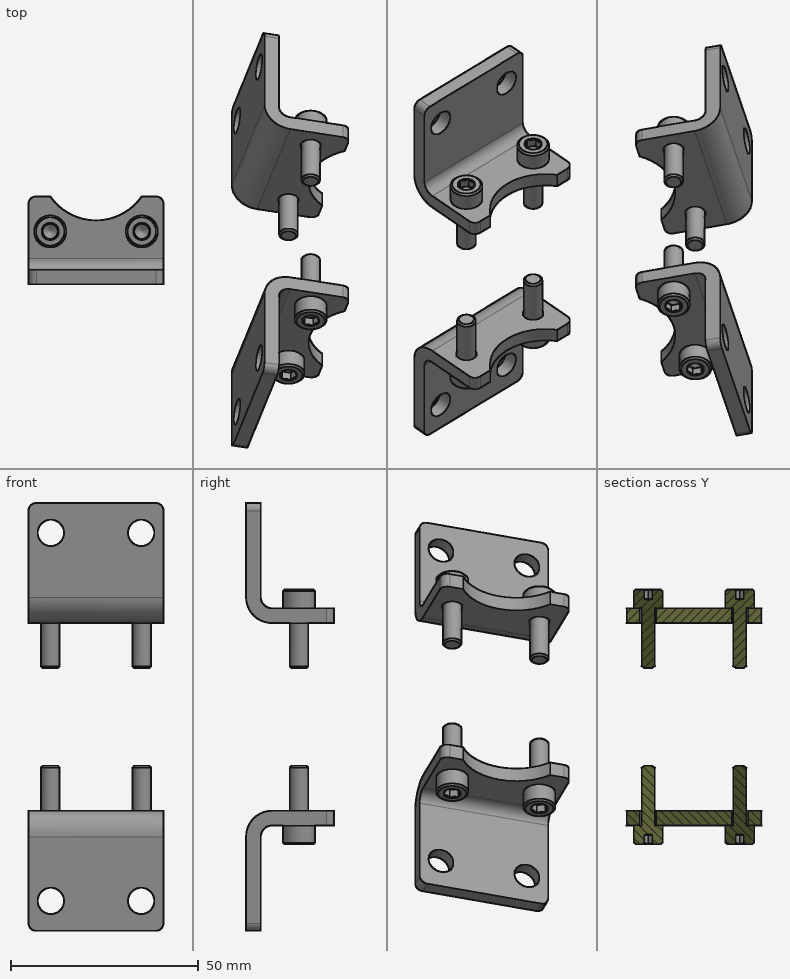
import cadquery as cq
import math

TOTAL_HEIGHT = 114.0
WIDTH = 36.0
FLANGE_DEPTH = 23.5

THICKNESS = 4.0
WALL_HEIGHT = 32.0
INNER_BEND_RADIUS = 3.0
OUTER_BEND_RADIUS = INNER_BEND_RADIUS + THICKNESS
CORNER_RADIUS = 2.0
FLANGE_Z = TOTAL_HEIGHT / 2 - WALL_HEIGHT

WALL_HOLE_DIAMETER = 7.0
WALL_HOLE_SPACING = 24.0
WALL_HOLE_EDGE_DISTANCE = 8.0

NOTCH_RADIUS = 14.8
NOTCH_FLOOR_Y = 17.1

SCREW_SPACING = 24.4
SCREW_Y = 14.1
SCREW_DIAMETER = 5.0
SCREW_HOLE_DIAMETER = 5.5
SCREW_PROTRUSION = 12.0
TIP_CHAMFER = 0.5
HEAD_DIAMETER = 8.5
HEAD_HEIGHT = 5.0
HEAD_CHAMFER = 0.5

SOCKET_FLATS = 4.0
SOCKET_CORNERS = SOCKET_FLATS / math.cos(math.pi / 6)
SOCKET_DEPTH = 2.5
SOCKET_CONE_DEPTH = 1.1
SOCKET_MOUTH_DEPTH = (SOCKET_CORNERS - SOCKET_FLATS) / 2


def make_bent_plate():
    """L-shaped plate with a concentric bend, flange along +Y and wall along +Z."""
    top = FLANGE_Z + WALL_HEIGHT
    flange_inner_z = FLANGE_Z + THICKNESS
    bend_y = OUTER_BEND_RADIUS
    bend_z = FLANGE_Z + OUTER_BEND_RADIUS
    outer_mid = OUTER_BEND_RADIUS * math.sqrt(0.5)
    inner_mid = INNER_BEND_RADIUS * math.sqrt(0.5)
    profile = (
        cq.Workplane("YZ", origin=(-WIDTH / 2, 0, 0))
        .moveTo(0, top)
        .lineTo(0, bend_z)
        .threePointArc((bend_y - outer_mid, bend_z - outer_mid), (bend_y, FLANGE_Z))
        .lineTo(FLANGE_DEPTH, FLANGE_Z)
        .lineTo(FLANGE_DEPTH, flange_inner_z)
        .lineTo(bend_y, flange_inner_z)
        .threePointArc((bend_y - inner_mid, bend_z - inner_mid), (THICKNESS, bend_z))
        .lineTo(THICKNESS, top)
        .close()
    )
    plate = profile.extrude(WIDTH)
    plate = plate.faces(">Z").edges("|Y").fillet(CORNER_RADIUS)
    return plate.faces(">Y").edges("|Z").fillet(CORNER_RADIUS)


def make_bracket():
    """Upper bracket with its wall holes, screw holes and flange notch."""
    wall_hole_z = FLANGE_Z + WALL_HEIGHT - WALL_HOLE_EDGE_DISTANCE
    wall_holes = (
        cq.Workplane("XZ", origin=(0, 0, wall_hole_z))
        .rarray(WALL_HOLE_SPACING, 1.1, 2, 1)
        .circle(WALL_HOLE_DIAMETER / 2)
        .extrude(-THICKNESS)
    )
    screw_holes = (
        cq.Workplane("XY", origin=(0, SCREW_Y, FLANGE_Z))
        .rarray(SCREW_SPACING, 1.1, 2, 1)
        .circle(SCREW_HOLE_DIAMETER / 2)
        .extrude(THICKNESS)
    )
    notch = (
        cq.Workplane("XY", origin=(0, NOTCH_FLOOR_Y + NOTCH_RADIUS, FLANGE_Z))
        .circle(NOTCH_RADIUS)
        .extrude(THICKNESS)
    )
    return make_bent_plate().cut(wall_holes).cut(screw_holes).cut(notch)


def make_socket(head_top_z):
    """Cutter for the drive recess: hexagon, conical floor and conical mouth."""
    hexagon = (
        cq.Workplane("XY", origin=(0, 0, head_top_z))
        .transformed(rotate=(0, 0, 90))
        .polygon(6, SOCKET_CORNERS)
        .extrude(-SOCKET_DEPTH)
    )
    floor_z = head_top_z - SOCKET_DEPTH
    floor_cone = cq.Workplane(
        cq.Solid.makeCone(
            0, SOCKET_FLATS / 2, SOCKET_CONE_DEPTH, pnt=cq.Vector(0, 0, floor_z - SOCKET_CONE_DEPTH)
        )
    )
    mouth_cone = cq.Workplane(
        cq.Solid.makeCone(
            SOCKET_FLATS / 2,
            SOCKET_CORNERS / 2,
            SOCKET_MOUTH_DEPTH,
            pnt=cq.Vector(0, 0, head_top_z - SOCKET_MOUTH_DEPTH),
        )
    )
    return hexagon.union(floor_cone).union(mouth_cone)


def make_screw(x):
    """Upper screw at the given X, its head seated on the inner face of the flange."""
    seat_z = THICKNESS
    shank = (
        cq.Workplane("XY", origin=(0, 0, -SCREW_PROTRUSION))
        .circle(SCREW_DIAMETER / 2)
        .extrude(SCREW_PROTRUSION + seat_z)
        .faces("<Z")
        .chamfer(TIP_CHAMFER)
    )
    head = (
        cq.Workplane("XY", origin=(0, 0, seat_z))
        .circle(HEAD_DIAMETER / 2)
        .extrude(HEAD_HEIGHT)
        .faces(">Z")
        .chamfer(HEAD_CHAMFER)
    )
    screw = shank.union(head).cut(make_socket(seat_z + HEAD_HEIGHT))
    return screw.translate((x, SCREW_Y, FLANGE_Z))


upper_bracket = make_bracket().solids().val()
lower_bracket = upper_bracket.mirror("XY")

screws = []
for screw_x in (-SCREW_SPACING / 2, SCREW_SPACING / 2):
    upper_screw = make_screw(screw_x).solids().val()
    screws.append(upper_screw)
    screws.append(upper_screw.mirror("XY"))

result = cq.Compound.makeCompound([upper_bracket, lower_bracket, *screws])